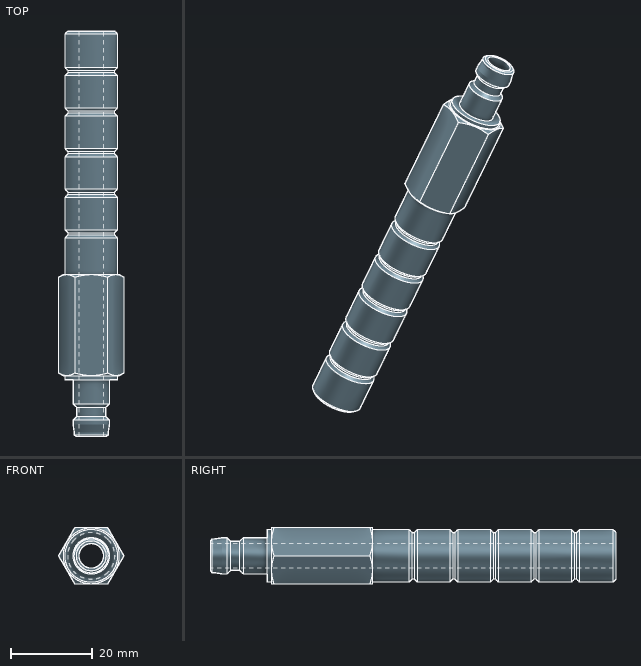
import cadquery as cq
import math

length = 100.0
bore_radius = 3.0

rod_radius = 6.5
rod_end_chamfer = 0.7
groove_count = 5
groove_pitch = 10.0
groove_depth = 0.75
groove_floor_width = 0.5

hex_start = 15.0
hex_end = 40.0
hex_across_flats = 14.0
hex_corner_radius = hex_across_flats / math.sqrt(3)
hex_face_radius = 6.9
hex_chamfer_angle = math.radians(30)
hex_chamfer_length = (hex_corner_radius - hex_face_radius) * math.tan(hex_chamfer_angle)

collar_start = 14.0
spigot_radius = 4.5
neck_radius = 3.6
neck_start = 5.0
neck_end = 7.2
neck_chamfer = spigot_radius - neck_radius
tip_taper_start = 2.9
tip_taper_end = 1.0
tip_radius = 4.2
tip_chamfer_length = 0.4
tip_face_radius = 3.7


def revolve_about_y(points):
    """Turn a closed (radius, Y) outline about the Y axis."""
    return cq.Workplane("XY").polyline(points).close().revolve(360, (0, 0, 0), (0, 1, 0))


def make_spigot():
    return revolve_about_y([
        (0, 0),
        (tip_face_radius, 0),
        (tip_radius, tip_chamfer_length),
        (tip_radius, tip_taper_end),
        (spigot_radius, tip_taper_start),
        (spigot_radius, neck_start - neck_chamfer),
        (neck_radius, neck_start),
        (neck_radius, neck_end),
        (spigot_radius, neck_end + neck_chamfer),
        (spigot_radius, collar_start),
        (0, collar_start),
    ])


def make_rod():
    return revolve_about_y([
        (0, collar_start),
        (rod_radius, collar_start),
        (rod_radius, length - rod_end_chamfer),
        (rod_radius - rod_end_chamfer, length),
        (0, length),
    ])


def make_groove(center):
    """Ring with 45 degree flanks and a narrow flat floor."""
    half_floor = groove_floor_width / 2
    half_mouth = half_floor + groove_depth
    floor_radius = rod_radius - groove_depth
    return revolve_about_y([
        (floor_radius, center - half_floor),
        (rod_radius, center - half_mouth),
        (rod_radius, center + half_mouth),
        (floor_radius, center + half_floor),
    ])


def make_hex_grip():
    """Hexagonal bar with its corners trimmed by a cone at each end."""
    bar = (
        cq.Workplane("XZ", origin=(0, hex_end, 0))
        .polygon(6, 2 * hex_corner_radius)
        .extrude(hex_end - hex_start)
    )
    envelope = revolve_about_y([
        (0, hex_start),
        (hex_face_radius, hex_start),
        (hex_corner_radius, hex_start + hex_chamfer_length),
        (hex_corner_radius, hex_end - hex_chamfer_length),
        (hex_face_radius, hex_end),
        (0, hex_end),
    ])
    return bar.intersect(envelope)


rod = make_rod()
for index in range(1, groove_count + 1):
    rod = rod.cut(make_groove(length - index * groove_pitch))

bore = cq.Workplane("XZ", origin=(0, length, 0)).circle(bore_radius).extrude(length)

result = rod.union(make_hex_grip()).union(make_spigot()).cut(bore)